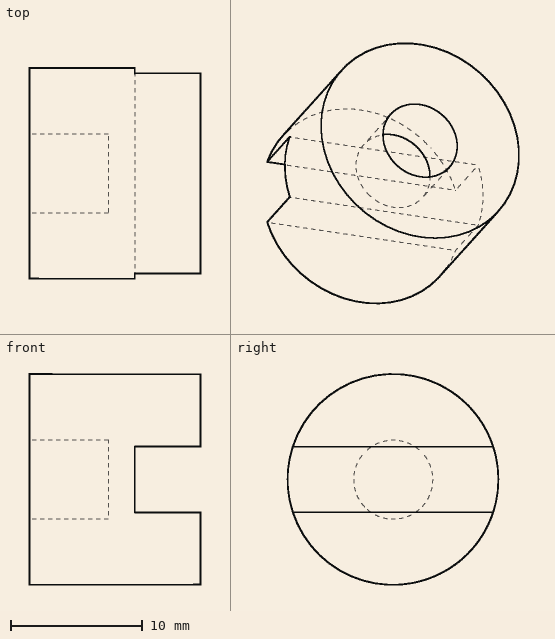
import cadquery as cq

outer_diameter = 16.0
body_length = 13.0
bore_diameter = 6.0
bore_depth = 6.0
slot_width = 5.0
slot_depth = 5.0


def make_body():
    """Solid cylinder along X, centred on the axis, starting at X = 0."""
    return cq.Workplane("YZ").circle(outer_diameter / 2).extrude(body_length)


def make_bore():
    """Blind axial bore entering from the -X end."""
    return cq.Workplane("YZ").circle(bore_diameter / 2).extrude(bore_depth)


def make_slot():
    """Slot across the full diameter along Y, open at the +X end."""
    return (
        cq.Workplane("YZ", origin=(body_length - slot_depth, 0, 0))
        .rect(outer_diameter, slot_width)
        .extrude(slot_depth)
    )


result = make_body().cut(make_bore()).cut(make_slot())